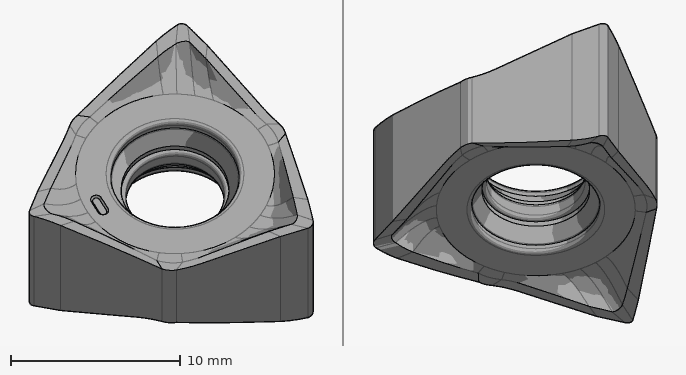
import cadquery as cq
import math


TIP_COUNT = 3
FIRST_TIP_ANGLE = 223.4
INSCRIBED_RADIUS = 7.0
TIP_WEDGE = 90.2
TIP_RADIUS = 0.43
OBTUSE_RADIUS = 1.61
FACET_START = 4.85
FACET_TILT = 1.55

TIP_Z = 4.496
LEADING_FACET_Z = 4.47
LEADING_BREAK_Z = 4.34
LEADING_MIDDLE_Z = 3.55
LEADING_OBTUSE_Z = 2.63
TRAILING_OBTUSE_Z = 2.58
TRAILING_CLIMB_START = 0.87
TRAILING_CLIMB_Z = 3.01
TRAILING_BREAK_Z = 4.1
TRAILING_TIP_Z = 4.37

LAND_TIP_ALONG = 5.65
LAND_OBTUSE_ALONG = -0.95
LAND_OBTUSE_WIDTH = 0.55
LEADING_LAND_WIDTH = 0.82
TRAILING_LAND_WIDTH = 0.67
LAND_OBTUSE_DROP = 0.07
LEADING_LAND_DROP = 0.38
TRAILING_LAND_DROP = 0.18

SEAT_RADIUS = 5.89
SEAT_Z = 2.5
SEAT_LEADING_TIP = 1.7
SEAT_LEADING_BREAK = 9.5
SEAT_LEADING_OBTUSE = 53.5
SEAT_TRAILING_OBTUSE = -53.6
SEAT_TRAILING_BREAK = -20
SEAT_TRAILING_TIP = -8.8
SLOPE_BEND = 0.6

THROAT_RADIUS = 2.91
CONE_RADIUS = 3.75
ENTRY_RADIUS = 3.8
HOLE_ROUND = 0.28
STEP_Z = 0.62
CONE_BOTTOM_Z = 0.97
CONE_TOP_Z = 1.89

MARK_DISTANCE = 5.01
MARK_LENGTH = 1.55
MARK_WIDTH = 0.65
MARK_DEPTH = 0.13
MARK_TAPER = 40

LEADING = 1
TRAILING = -1
SECTOR = 360 / TIP_COUNT
HALF_WEDGE = TIP_WEDGE / 2
EDGE_NORMAL = 90 - HALF_WEDGE
OBTUSE_HALF_TURN = SECTOR / 2 - EDGE_NORMAL

OBTUSE_CENTER = (INSCRIBED_RADIUS - OBTUSE_RADIUS) / math.cos(math.radians(OBTUSE_HALF_TURN))
OBTUSE_ALONG = -OBTUSE_CENTER * math.sin(math.radians(OBTUSE_HALF_TURN))
FACET_NORMAL = EDGE_NORMAL - FACET_TILT
TILT = math.radians(FACET_TILT)
FACET_DISTANCE = INSCRIBED_RADIUS * math.cos(TILT) + FACET_START * math.sin(TILT)
TIP_CENTER = (FACET_DISTANCE - TIP_RADIUS) / math.cos(math.radians(FACET_NORMAL))


def polar(radius, angle, z=0):
    turn = math.radians(angle)
    return cq.Vector(radius * math.cos(turn), radius * math.sin(turn), z)


TIP_TANGENT = polar(TIP_CENTER, 0) + polar(TIP_RADIUS, FACET_NORMAL)
TIP_ALONG = TIP_TANGENT.dot(polar(1, EDGE_NORMAL - 90))
TIP_OUT = TIP_TANGENT.dot(polar(1, EDGE_NORMAL))


def edge_point(side, along, out, z):
    """Point beside an edge of the first tip: distance along it, distance out, height."""
    spot = polar(out, EDGE_NORMAL) + polar(along, EDGE_NORMAL - 90)
    return cq.Vector(spot.x, side * spot.y, z)


def rim(side, along, z):
    """Point on the cutting edge."""
    beyond = max(0, along - FACET_START)
    out = INSCRIBED_RADIUS + beyond * (TIP_OUT - INSCRIBED_RADIUS) / (TIP_ALONG - FACET_START)
    return edge_point(side, along, out, z)


def land(side, along, z):
    """Point on the inner border of the land, for a point on the cutting edge."""
    share = (along - OBTUSE_ALONG) / (TIP_ALONG - OBTUSE_ALONG)
    tip_width = LEADING_LAND_WIDTH if side == LEADING else TRAILING_LAND_WIDTH
    tip_drop = LEADING_LAND_DROP if side == LEADING else TRAILING_LAND_DROP
    width = LAND_OBTUSE_WIDTH + share * (tip_width - LAND_OBTUSE_WIDTH)
    drop = LAND_OBTUSE_DROP + share * (tip_drop - LAND_OBTUSE_DROP)
    inner_along = LAND_OBTUSE_ALONG + share * (LAND_TIP_ALONG - LAND_OBTUSE_ALONG)
    return edge_point(side, inner_along, INSCRIBED_RADIUS - width, z - drop)


def to_sector(shape, number):
    return shape.rotate(cq.Vector(), cq.Vector(0, 0, 1), SECTOR * number)


def to_next(point):
    """Point of the first sector moved to the next one."""
    turned = cq.Vertex.makeVertex(*point.toTuple())
    return to_sector(turned, 1).Center()


def corner_edge(start, end, start_angle, end_angle):
    """Rounded corner that leaves and arrives along the given headings."""
    return cq.Edge.makeSpline([start, end], tangents=[polar(1, start_angle), polar(1, end_angle)])


def arc_edge(center, radius, start_angle, end_angle, start_z, end_z):
    """Arc in plan whose height changes steadily."""
    steps = 6
    points = []
    for step in range(steps + 1):
        share = step / steps
        angle = start_angle + share * (end_angle - start_angle)
        spot = center + polar(radius, angle)
        points.append(cq.Vector(spot.x, spot.y, start_z + share * (end_z - start_z)))
    return cq.Edge.makeSpline(points)


def border(place, tip_corner, obtuse_corner):
    """Closed border of the top, six edges per sector, counter-clockwise from the first tip."""
    facet_middle = (FACET_START + TIP_ALONG) / 2
    lead_tip = place(LEADING, TIP_ALONG, TIP_Z)
    lead_facet = place(LEADING, facet_middle, LEADING_FACET_Z)
    lead_break = place(LEADING, FACET_START, LEADING_BREAK_Z)
    lead_middle = place(LEADING, (FACET_START + OBTUSE_ALONG) / 2, LEADING_MIDDLE_Z)
    lead_obtuse = place(LEADING, OBTUSE_ALONG, LEADING_OBTUSE_Z)
    trail_tip = place(TRAILING, TIP_ALONG, TRAILING_TIP_Z)
    trail_break = place(TRAILING, FACET_START, TRAILING_BREAK_Z)
    trail_obtuse = place(TRAILING, OBTUSE_ALONG, TRAILING_OBTUSE_Z)
    climb_start = place(TRAILING, TRAILING_CLIMB_START, TRAILING_CLIMB_Z)
    climb_middle = (climb_start + trail_break) * 0.5
    level = place(TRAILING, TIP_ALONG, TRAILING_OBTUSE_Z) - trail_obtuse
    level = cq.Vector(level.x, level.y, 0).normalized()
    climb = (trail_break - climb_start).normalized()
    trail_main = cq.Edge.makeSpline(
        [trail_obtuse, climb_start, climb_middle, trail_break], tangents=[level, climb]
    )
    sector = [
        tip_corner(trail_tip, lead_tip),
        cq.Edge.makeSpline([lead_tip, lead_facet, lead_break]),
        cq.Edge.makeSpline([lead_break, lead_middle, lead_obtuse]),
        obtuse_corner(lead_obtuse, to_next(trail_obtuse)),
        to_sector(trail_main, 1),
        to_sector(cq.Edge.makeLine(trail_break, trail_tip), 1),
    ]
    return [to_sector(edge, number) for number in range(TIP_COUNT) for edge in sector]


def rim_tip(start, end):
    return arc_edge(polar(TIP_CENTER, 0), TIP_RADIUS, -FACET_NORMAL, FACET_NORMAL, start.z, end.z)


def rim_obtuse(start, end):
    middle = SECTOR / 2
    return arc_edge(
        polar(OBTUSE_CENTER, middle),
        OBTUSE_RADIUS,
        middle - OBTUSE_HALF_TURN,
        middle + OBTUSE_HALF_TURN,
        start.z,
        end.z,
    )


def land_tip(start, end):
    return corner_edge(start, end, HALF_WEDGE, 180 - HALF_WEDGE)


def land_obtuse(start, end):
    middle = SECTOR / 2 + 90
    return corner_edge(start, end, middle - OBTUSE_HALF_TURN, middle + OBTUSE_HALF_TURN)


def seat_border():
    stations = [
        SEAT_TRAILING_TIP,
        SEAT_LEADING_TIP,
        SEAT_LEADING_BREAK,
        SEAT_LEADING_OBTUSE,
        SECTOR + SEAT_TRAILING_OBTUSE,
        SECTOR + SEAT_TRAILING_BREAK,
        SECTOR + SEAT_TRAILING_TIP,
    ]
    sector = [
        cq.Edge.makeThreePointArc(
            polar(SEAT_RADIUS, start, SEAT_Z),
            polar(SEAT_RADIUS, (start + end) / 2, SEAT_Z),
            polar(SEAT_RADIUS, end, SEAT_Z),
        )
        for start, end in zip(stations, stations[1:])
    ]
    return [to_sector(edge, number) for number in range(TIP_COUNT) for edge in sector]


def slope_line(land_point, seat_point):
    """Line down the slope that runs out level into the seat."""
    bend = land_point + (seat_point - land_point) * SLOPE_BEND
    return cq.Edge.makeBezier([land_point, cq.Vector(bend.x, bend.y, SEAT_Z), seat_point])


def slope_faces(land_edges, seat_edges):
    lines = [slope_line(a.startPoint(), b.startPoint()) for a, b in zip(land_edges, seat_edges)]
    faces = []
    for number, (upper, lower) in enumerate(zip(land_edges, seat_edges)):
        sides = [lines[number], lines[(number + 1) % len(lines)]]
        faces.append(cq.Face.makeNSidedSurface([upper, sides[1], lower, sides[0]], []))
    return faces


def turn_over(shape):
    return shape.rotate(cq.Vector(), cq.Vector(1, 0, 0), 180)


def wall_face(upper, lower):
    """Wall between two edges; turning over has made the lower one run the other way."""
    return cq.Face.makeRuledSurface(upper, cq.Edge(lower.wrapped.Reversed()))


def make_body():
    rim_edges = border(rim, rim_tip, rim_obtuse)
    land_edges = border(land, land_tip, land_obtuse)
    seat_edges = seat_border()
    top = [cq.Face.makeRuledSurface(a, b) for a, b in zip(rim_edges, land_edges)]
    top += slope_faces(land_edges, seat_edges)
    top.append(cq.Face.makeFromWires(cq.Wire.assembleEdges(seat_edges)))
    bottom = [turn_over(face) for face in top]
    walls = [wall_face(edge, turn_over(rim_edges[-number])) for number, edge in enumerate(rim_edges)]
    return cq.Solid.makeSolid(cq.Shell.makeShell(top + bottom + walls))


def make_hole():
    throat_z = STEP_Z - HOLE_ROUND
    entry_z = SEAT_Z - HOLE_ROUND
    rise = HOLE_ROUND * math.sin(math.radians(45))
    widening = HOLE_ROUND - rise
    relief = ENTRY_RADIUS - CONE_RADIUS
    half = (
        cq.Workplane("XZ")
        .moveTo(0, 0)
        .lineTo(THROAT_RADIUS, 0)
        .lineTo(THROAT_RADIUS, throat_z)
        .threePointArc(
            (THROAT_RADIUS + widening, throat_z + rise), (THROAT_RADIUS + HOLE_ROUND, STEP_Z)
        )
        .lineTo(THROAT_RADIUS + HOLE_ROUND, CONE_BOTTOM_Z)
        .lineTo(CONE_RADIUS, CONE_TOP_Z)
        .lineTo(ENTRY_RADIUS, CONE_TOP_Z + relief)
        .lineTo(ENTRY_RADIUS, entry_z)
        .threePointArc(
            (ENTRY_RADIUS + widening, entry_z + rise), (ENTRY_RADIUS + HOLE_ROUND, SEAT_Z)
        )
        .lineTo(ENTRY_RADIUS + HOLE_ROUND, TIP_Z)
        .lineTo(0, TIP_Z)
        .close()
        .revolve(360, (0, 0, 0), (0, 1, 0))
    )
    return half.union(half.mirror("XY"))


def make_mark():
    return (
        cq.Workplane("XY", origin=(MARK_DISTANCE, 0, SEAT_Z))
        .slot2D(MARK_LENGTH, MARK_WIDTH, 90)
        .extrude(-MARK_DEPTH, taper=MARK_TAPER)
    )


body = cq.Workplane(make_body())
insert = body.cut(make_hole()).cut(make_mark())
result = insert.rotate((0, 0, 0), (0, 0, 1), FIRST_TIP_ANGLE)